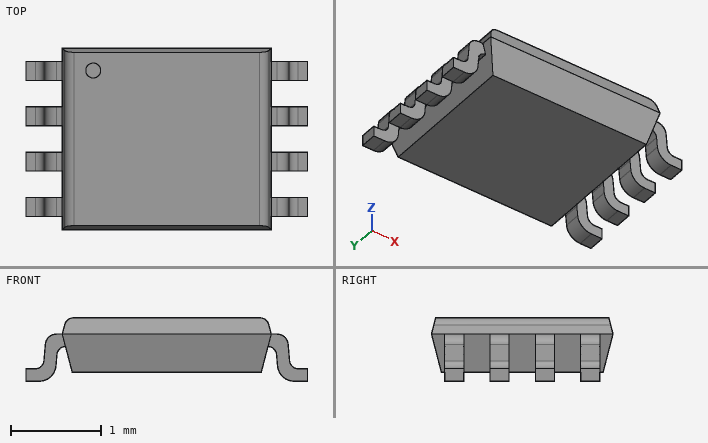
import cadquery as cq
import math

span = 3.1
body_length = 2.3
body_width = 2.0
body_bottom = 0.1
parting_height = 0.52
body_top = 0.7
draft_angle = 14.5
top_edge_radius = 0.105

leads_per_side = 4
lead_pitch = 0.5
lead_width = 0.21
lead_thickness = 0.14
lead_lean = 5.0
shoulder_x = 1.327
shoulder_radius = 0.125
heel_radius = 0.185
inner_bend_radius = 0.093
lead_root_x = 0.93

mark_diameter = 0.165
mark_x = -0.81
mark_y = 0.753
mark_depth = 0.01


def make_half(height):
    """Drafted block that grows from the parting plane; a negative height grows downward."""
    return (
        cq.Workplane("XY", origin=(0, 0, parting_height))
        .rect(body_length, body_width)
        .extrude(height, taper=draft_angle)
    )


def make_body():
    """Two drafted halves that meet at the parting plane, with two rounded top edges."""
    upper = make_half(body_top - parting_height)
    lower = make_half(body_bottom - parting_height)
    upper = upper.faces(">Z").edges("|Y").fillet(top_edge_radius)
    return upper.union(lower)


def make_lead():
    """One lead on the +X side, centred on Y = 0."""
    lean = math.tan(math.radians(lead_lean))
    leg_thickness = lead_thickness / math.cos(math.radians(lead_lean))
    tip_x = span / 2

    def leg_outer_x(z):
        return shoulder_x + (parting_height - z) * lean

    root_z = parting_height - lead_thickness
    shoulder = (leg_outer_x(parting_height), parting_height)
    ankle = (leg_outer_x(lead_thickness), lead_thickness)
    heel = (leg_outer_x(0) - leg_thickness, 0)
    armpit = (leg_outer_x(root_z) - leg_thickness, root_z)

    lead = (
        cq.Workplane("XZ")
        .moveTo(lead_root_x, parting_height)
        .lineTo(*shoulder)
        .lineTo(*ankle)
        .lineTo(tip_x, lead_thickness)
        .lineTo(tip_x, 0)
        .lineTo(*heel)
        .lineTo(*armpit)
        .lineTo(lead_root_x, root_z)
        .close()
        .extrude(lead_width / 2, both=True)
    )
    bends = (
        (shoulder, shoulder_radius),
        (ankle, inner_bend_radius),
        (heel, heel_radius),
        (armpit, inner_bend_radius),
    )
    for (x, z), radius in bends:
        corner = cq.selectors.NearestToPointSelector((x, 0, z))
        lead = lead.edges("|Y").edges(corner).fillet(radius)
    return lead


def add_leads(part):
    """Rows of leads along both X sides of the body."""
    right_lead = make_lead()
    left_lead = right_lead.mirror("YZ")
    for i in range(leads_per_side):
        y = (i - (leads_per_side - 1) / 2) * lead_pitch
        part = part.union(right_lead.translate((0, y, 0)))
        part = part.union(left_lead.translate((0, y, 0)))
    return part


def cut_pin_mark(part):
    """Shallow round recess beside pin 1."""
    mark = (
        cq.Workplane("XY", origin=(mark_x, mark_y, body_top))
        .circle(mark_diameter / 2)
        .extrude(-mark_depth)
    )
    return part.cut(mark)


result = cut_pin_mark(add_leads(make_body()))